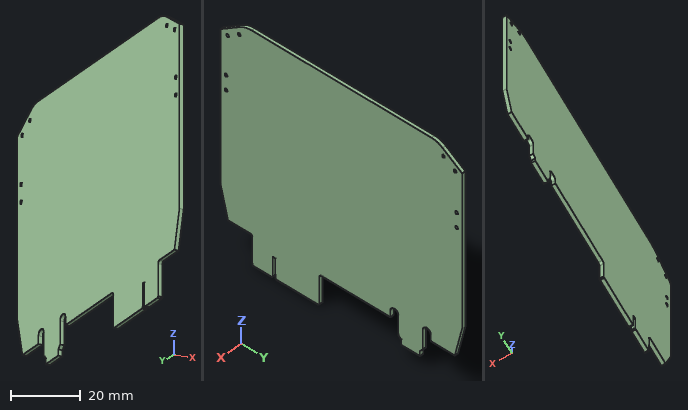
import cadquery as cq

thickness = 1.4
width = 95.5
height = 87.3
half_width = width / 2
top = height / 2
bottom = -height / 2

shoulder_run = 9.8
shoulder_drop = 6.5
shoulder_radius = 7.9
taper_run = 3.0
taper_height = 11.8
body_bottom = bottom + 11.4

narrow_tab_y = 27.3
narrow_tab_width = 9.7
narrow_tab_bottom = bottom + 3.4
tip_step = 1.1
tip_length = 1.9
relief_width = 3.1
relief_depth = 4.0
relief_radius = 1.4

wide_tab_y = -22.0
wide_tab_width = 26.55
root_radius = 0.8
tip_chamfer = 0.4
slit_y = -26.55
slit_width = 1.0
slit_depth = 7.7

hole_diameter = 1.05
hole_positions = [(7.45, 4.3), (2.9, 7.3), (2.2, 22.3), (2.2, 27.9)]


def block(y_center, y_size, z_low, z_size):
    """Box of plate thickness standing on z_low."""
    return (
        cq.Workplane("XY")
        .box(thickness, y_size, z_size, centered=(True, True, False))
        .translate((0, y_center, z_low))
    )


def edges_at(plate, points):
    """Select the through-thickness edges passing through the (y, z) points."""
    selected = plate.edges(cq.selectors.NearestToPointSelector((0, *points[0])))
    for point in points[1:]:
        selected = selected.add(plate.edges(cq.selectors.NearestToPointSelector((0, *point))))
    return selected


def extrude_outline(points):
    """Extrude a closed (y, z) outline symmetrically through the thickness."""
    return cq.Workplane("YZ").polyline(points).close().extrude(thickness / 2, both=True)


def make_body():
    positive_side = [
        (half_width - taper_run, body_bottom),
        (half_width, body_bottom + taper_height),
        (half_width, top - shoulder_drop),
        (half_width - shoulder_run, top),
    ]
    negative_side = [(-y, z) for y, z in reversed(positive_side)]
    body = extrude_outline(positive_side + negative_side)
    shoulder_y = half_width - shoulder_run
    return edges_at(body, [(shoulder_y, top), (-shoulder_y, top)]).fillet(shoulder_radius)


def cut_reliefs(plate):
    offset = (narrow_tab_width + relief_width) / 2
    for side in (-1, 1):
        relief = block(narrow_tab_y + side * offset, relief_width, body_bottom, relief_depth)
        plate = plate.cut(relief.edges("|X and >Z").fillet(relief_radius))
    return plate


def make_narrow_tab():
    half = narrow_tab_width / 2
    tip_half = half - tip_step
    step_low = narrow_tab_bottom + tip_length
    step_high = step_low + tip_step
    positive_side = [
        (tip_half, narrow_tab_bottom),
        (tip_half, step_low),
        (half, step_high),
        (half, body_bottom),
    ]
    negative_side = [(-y, z) for y, z in reversed(positive_side)]
    return extrude_outline([(narrow_tab_y + y, z) for y, z in positive_side + negative_side])


def add_wide_tab(plate):
    tab = block(wide_tab_y, wide_tab_width, bottom, body_bottom - bottom)
    tab = tab.cut(block(slit_y, slit_width, bottom, slit_depth))
    plate = plate.union(tab.edges("|X and <Z").chamfer(tip_chamfer))
    roots = [(wide_tab_y + side * wide_tab_width / 2, body_bottom) for side in (-1, 1)]
    return edges_at(plate, roots).fillet(root_radius)


def drill_holes(plate):
    centers = [
        (side * (half_width - inset), top - drop)
        for inset, drop in hole_positions
        for side in (-1, 1)
    ]
    holes = (
        cq.Workplane("YZ")
        .pushPoints(centers)
        .circle(hole_diameter / 2)
        .extrude(thickness / 2, both=True)
    )
    return plate.cut(holes)


plate = cut_reliefs(make_body())
plate = plate.union(make_narrow_tab())
plate = add_wide_tab(plate)
result = drill_holes(plate)